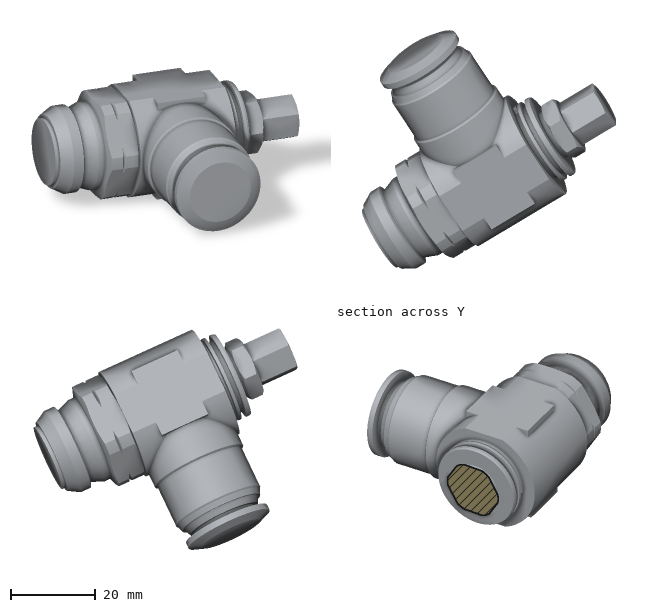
import cadquery as cq
import math


FLAT_TO_CORNER = math.cos(math.pi / 6)

BODY_TURN = 2.2
BODY_RADIUS = 13.5
BODY_LENGTH = 24.1
BODY_FLAT_HEIGHT = 12.5
PAD_WIDTH = 16.95
PAD_LENGTH = 12.0

ROOT_RADIUS = 11.5
ROOT_END = 16.75
SLEEVE_RADIUS = 10.95
SLEEVE_START = 17.1
SLEEVE_END = 27.4
SLEEVE_EDGE_RADIUS = 10.6
SLEEVE_EDGE_END = 27.75
SHOULDER_RADIUS = 10.1
SHOULDER_END = 29.1
LIP_RADIUS = 9.55
LIP_TIP_RADIUS = 8.8
LIP_END = 30.75
RELEASE_NECK_RADIUS = 7.9
RELEASE_FLARE_START = 31.7
RELEASE_FLARE_RADIUS = 8.1
RELEASE_START = 32.0
RELEASE_RADIUS = 10.55
RELEASE_RIM_END = 33.45
RELEASE_TIP_RADIUS = 7.6
RELEASE_END = 34.6

BODY_BOTTOM = -BODY_LENGTH / 2
STEM_RADIUS = 10.5
NUT_FLATS = 23.9
NUT_ROUND_RADIUS = 13.0
NUT_BOTTOM = -19.95
NUT_TOP_CHAMFER_RADIUS = 12.0
NUT_TOP_CHAMFER = 0.4
NUT_BOTTOM_CHAMFER = 0.9
NUT_GROOVE_Y = -16.0
NUT_GROOVE_DEPTH = 0.7
NUT_GROOVE_WIDTH = 0.75
COLLAR_BOTTOM = -21.45
WAIST_TOP = -24.5
WAIST_BOTTOM = -24.7
WAIST_RADIUS = 9.3
PLUG_TOP = -25.2
PLUG_CONE_START = -27.7
PLUG_CONE_END = -30.5
PLUG_CONE_RADIUS = 8.9
PLUG_TIP_RADIUS = 8.0
STEM_BOTTOM = -31.45

BODY_TOP = BODY_LENGTH / 2
STOP_RING_TOP = 12.9
STOP_END_DROP = 0.8
STOP_CORE_RADIUS = 9.1
LOWER_FLANGE_BOTTOM = 13.25
LOWER_FLANGE_TOP = 14.0
FLANGE_GROOVE_TOP = 15.3
FLANGE_GROOVE_RADIUS = 9.05
UPPER_FLANGE_TOP = 16.5
UPPER_FLANGE_EDGE_HEIGHT = 0.45
UPPER_FLANGE_EDGE_DEPTH = 0.2
LOCK_NECK_RADIUS = 6.1
LOCK_NUT_BOTTOM = 17.55
LOCK_NUT_TOP = 21.5
LOCK_NUT_CORNER_RADIUS = 7.55
LOCK_NUT_CHAMFER = 0.55
OVERALL_LENGTH = 62.5
HEAD_TOP = STEM_BOTTOM + OVERALL_LENGTH
HEAD_CORNER_RADIUS = 5.75
HEAD_CHAMFER = 0.25
HEAD_TURN = 25.0


def turned(profile):
    """Solid of revolution about Y from (radius, y) points; closes along the axis."""
    points = [(0, profile[0][1])] + profile + [(0, profile[-1][1])]
    return cq.Workplane("XY").polyline(points).close().revolve(360, (0, 0), (0, 1))


def hexagon(corner_radius, bottom, top, turn=0.0):
    """Hexagonal bar along Y with its first corner turned from +X towards +Z."""
    bar = cq.Workplane("XZ", origin=(0, top, 0)).polygon(6, 2 * corner_radius).extrude(top - bottom)
    return bar.rotate((0, 0, 0), (0, 1, 0), -turn)


def chamfered_hexagon(corner_radius, bottom, top, chamfer, turn=0.0):
    """Hexagonal bar whose corners are turned off at both ends, down to the flats."""
    flat_radius = corner_radius * FLAT_TO_CORNER
    envelope = turned([
        (flat_radius, bottom),
        (corner_radius, bottom + chamfer),
        (corner_radius, top - chamfer),
        (flat_radius, top),
    ])
    return hexagon(corner_radius, bottom, top, turn).intersect(envelope)


def make_body():
    """Barrel with flat top and bottom, and a wider pad block at mid-length."""
    barrel = turned([(BODY_RADIUS, BODY_BOTTOM), (BODY_RADIUS, BODY_TOP)])
    flats = cq.Workplane("XY").box(2 * BODY_RADIUS, BODY_LENGTH, 2 * BODY_FLAT_HEIGHT)
    pads = cq.Workplane("XY").box(PAD_WIDTH, PAD_LENGTH, 2 * BODY_FLAT_HEIGHT)
    return barrel.intersect(flats).union(pads)


def make_branch():
    """Tube socket with its release ring, along +X."""
    branch = turned([
        (ROOT_RADIUS, 0),
        (ROOT_RADIUS, ROOT_END),
        (SLEEVE_RADIUS, SLEEVE_START),
        (SLEEVE_RADIUS, SLEEVE_END),
        (SLEEVE_EDGE_RADIUS, SLEEVE_EDGE_END),
        (SHOULDER_RADIUS, SHOULDER_END),
        (LIP_RADIUS, SHOULDER_END),
        (LIP_TIP_RADIUS, LIP_END),
        (RELEASE_NECK_RADIUS, LIP_END),
        (RELEASE_NECK_RADIUS, RELEASE_FLARE_START),
        (RELEASE_FLARE_RADIUS, RELEASE_START),
        (RELEASE_RADIUS, RELEASE_START),
        (RELEASE_RADIUS, RELEASE_RIM_END),
        (RELEASE_TIP_RADIUS, RELEASE_END),
    ])
    return branch.rotate((0, 0, 0), (0, 0, 1), -90)


def make_fixing_nut():
    """Hexagon with rounded corners, chamfered ends and a V groove at mid-height."""
    half_groove = NUT_GROOVE_WIDTH / 2
    envelope = turned([
        (STEM_RADIUS, NUT_BOTTOM),
        (NUT_ROUND_RADIUS, NUT_BOTTOM + NUT_BOTTOM_CHAMFER),
        (NUT_ROUND_RADIUS, NUT_GROOVE_Y - half_groove),
        (NUT_ROUND_RADIUS - NUT_GROOVE_DEPTH, NUT_GROOVE_Y),
        (NUT_ROUND_RADIUS, NUT_GROOVE_Y + half_groove),
        (NUT_ROUND_RADIUS, BODY_BOTTOM - NUT_TOP_CHAMFER),
        (NUT_TOP_CHAMFER_RADIUS, BODY_BOTTOM),
    ])
    corner_radius = NUT_FLATS / 2 / FLAT_TO_CORNER
    return hexagon(corner_radius, NUT_BOTTOM, BODY_BOTTOM).intersect(envelope)


def make_plug():
    """Tapered collar, waist and plug end below the fixing nut."""
    return turned([
        (PLUG_TIP_RADIUS, STEM_BOTTOM),
        (PLUG_TIP_RADIUS, PLUG_CONE_END),
        (PLUG_CONE_RADIUS, PLUG_CONE_END),
        (STEM_RADIUS, PLUG_CONE_START),
        (STEM_RADIUS, PLUG_TOP),
        (WAIST_RADIUS, WAIST_BOTTOM),
        (WAIST_RADIUS, WAIST_TOP),
        (STEM_RADIUS, COLLAR_BOTTOM),
        (STEM_RADIUS, NUT_BOTTOM),
    ])


def make_stop_ring():
    """Half ring on the upper (+Z) side of the core, with sloping ends."""
    disc = turned([(STEM_RADIUS, BODY_TOP), (STEM_RADIUS, STOP_RING_TOP)])
    upper_half = (
        cq.Workplane("XZ", origin=(0, STOP_RING_TOP, 0))
        .polyline([
            (-STEM_RADIUS, STEM_RADIUS),
            (-STEM_RADIUS, 0),
            (-STOP_CORE_RADIUS, -STOP_END_DROP),
            (STOP_CORE_RADIUS, -STOP_END_DROP),
            (STEM_RADIUS, 0),
            (STEM_RADIUS, STEM_RADIUS),
        ])
        .close()
        .extrude(STOP_RING_TOP - BODY_TOP)
    )
    return disc.intersect(upper_half)


def make_upper_stem():
    """Core, grooved flange and neck above the body."""
    return turned([
        (STOP_CORE_RADIUS, BODY_TOP),
        (STOP_CORE_RADIUS, LOWER_FLANGE_BOTTOM),
        (STEM_RADIUS, LOWER_FLANGE_BOTTOM),
        (STEM_RADIUS, LOWER_FLANGE_TOP),
        (FLANGE_GROOVE_RADIUS, LOWER_FLANGE_TOP),
        (FLANGE_GROOVE_RADIUS, FLANGE_GROOVE_TOP),
        (STEM_RADIUS, FLANGE_GROOVE_TOP),
        (STEM_RADIUS, UPPER_FLANGE_TOP - UPPER_FLANGE_EDGE_HEIGHT),
        (STEM_RADIUS - UPPER_FLANGE_EDGE_DEPTH, UPPER_FLANGE_TOP),
        (LOCK_NECK_RADIUS, UPPER_FLANGE_TOP),
        (LOCK_NECK_RADIUS, LOCK_NUT_BOTTOM),
    ])


turned_body = make_body().union(make_branch()).rotate((0, 0, 0), (0, 1, 0), BODY_TURN)
lock_nut = chamfered_hexagon(
    LOCK_NUT_CORNER_RADIUS, LOCK_NUT_BOTTOM, LOCK_NUT_TOP, LOCK_NUT_CHAMFER
)
adjusting_head = chamfered_hexagon(
    HEAD_CORNER_RADIUS, LOCK_NUT_TOP, HEAD_TOP, HEAD_CHAMFER, HEAD_TURN
)

result = (
    turned_body
    .union(make_fixing_nut())
    .union(make_plug())
    .union(make_upper_stem())
    .union(make_stop_ring())
    .union(lock_nut)
    .union(adjusting_head)
)